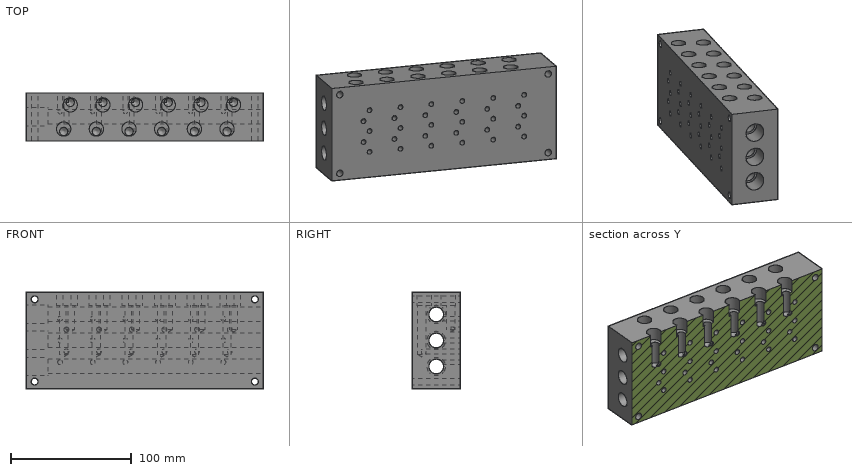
import cadquery as cq
import math

LENGTH = 196.0
DEPTH = 40.0
HEIGHT = 80.0

MOUNT_DIA = 5.5
MOUNT_INSET_X = 7.0
MOUNT_INSET_Z = 6.0

GALLERY_DIA = 12.0
GALLERY_PORT_DIA = 15.25
GALLERY_PORT_DEPTH = 18.0
GALLERY_COUNT = 3
GALLERY_PITCH = 21.5

OUTLET_COUNT = 6
OUTLET_PITCH = 27.0
OUTLET_DIA = 11.8
OUTLET_DEPTH = 11.0
OUTLET_ROW_Y = 10.0
FRONT_ROW_SHIFT_X = 0.5
REAR_ROW_SHIFT_X = 5.9

DRILL_DIA = 6.8
DRILL_POINT_ANGLE = 118.0
DRILL_ROW_Y = 12.0
FRONT_DRILL_DEPTH = 51.5
REAR_DRILL_DEPTH = 31.0

FEED_DIA = 4.0
FEED_PITCH_Z = 9.0
OUTLET_FEED_X = 2.75
GALLERY_FEED_X = -2.5


def centred_positions(count, pitch):
    """Evenly spaced positions, symmetric about zero."""
    return [(i - (count - 1) / 2) * pitch for i in range(count)]


def mounting_holes():
    return (
        cq.Workplane("XZ", origin=(0, DEPTH / 2, HEIGHT / 2))
        .rect(LENGTH - 2 * MOUNT_INSET_X, HEIGHT - 2 * MOUNT_INSET_Z, forConstruction=True)
        .vertices()
        .circle(MOUNT_DIA / 2)
        .extrude(DEPTH)
    )


def gallery_bores():
    centres = [(0, z) for z in centred_positions(GALLERY_COUNT, GALLERY_PITCH)]
    end_face = cq.Workplane("YZ", origin=(-LENGTH / 2, 0, HEIGHT / 2)).pushPoints(centres)
    bores = end_face.circle(GALLERY_DIA / 2).extrude(LENGTH)
    ports = end_face.circle(GALLERY_PORT_DIA / 2).extrude(GALLERY_PORT_DEPTH)
    return bores.union(ports)


def outlet(x, port_y, drill_y, drill_depth):
    """A flat-bottomed port with a pointed drilling in its floor."""
    port = cq.Workplane("XY", origin=(x, port_y, HEIGHT)).circle(OUTLET_DIA / 2).extrude(-OUTLET_DEPTH)
    radius = DRILL_DIA / 2
    point_length = radius / math.tan(math.radians(DRILL_POINT_ANGLE / 2))
    drill = (
        cq.Workplane("XZ", origin=(x, drill_y, HEIGHT))
        .polyline([(0, 0), (radius, 0), (radius, -drill_depth), (0, -drill_depth - point_length)])
        .close()
        .revolve(360, (0, 0), (0, 1))
    )
    return port.union(drill)


def feed_hole(x, z, end_y):
    """A flat-ended hole from the +Y face to end_y."""
    rear_face = cq.Workplane("XZ", origin=(x, DEPTH / 2, z))
    return rear_face.circle(FEED_DIA / 2).extrude(DEPTH / 2 - end_y)


def outlet_pair(x):
    """A front and a rear outlet, each reached by its own feed hole."""
    front = outlet(x + FRONT_ROW_SHIFT_X, -OUTLET_ROW_Y, -DRILL_ROW_Y, FRONT_DRILL_DEPTH)
    rear = outlet(x + REAR_ROW_SHIFT_X, OUTLET_ROW_Y, DRILL_ROW_Y, REAR_DRILL_DEPTH)
    front_feed = feed_hole(x + OUTLET_FEED_X, HEIGHT / 2 - FEED_PITCH_Z, -DRILL_ROW_Y)
    rear_feed = feed_hole(x + OUTLET_FEED_X, HEIGHT / 2 + FEED_PITCH_Z, DRILL_ROW_Y)
    return [front, rear, front_feed, rear_feed]


def gallery_feeds(x):
    """One feed hole into each gallery bore, ending on the bore's mid-plane."""
    levels = centred_positions(GALLERY_COUNT, 2 * FEED_PITCH_Z)
    return [feed_hole(x + GALLERY_FEED_X, HEIGHT / 2 + level, 0) for level in levels]


result = cq.Workplane("XY").box(LENGTH, DEPTH, HEIGHT, centered=(True, True, False))
result = result.cut(mounting_holes()).cut(gallery_bores())
for column_x in centred_positions(OUTLET_COUNT, OUTLET_PITCH):
    for cutter in outlet_pair(column_x) + gallery_feeds(column_x):
        result = result.cut(cutter)